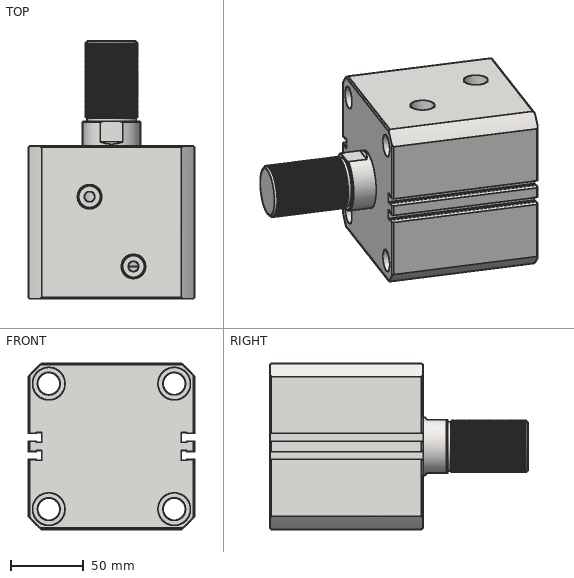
import cadquery as cq


WIDTH = 114.0
LENGTH = 105.0
FLAT_WIDTH = 95.5
END_CHAMFER = 1.0
HALF_WIDTH = WIDTH / 2
CORNER_RADIUS = (HALF_WIDTH**2 + (FLAT_WIDTH / 2) ** 2) ** 0.5

MOUNT_OFFSET = 43.0
MOUNT_RADIUS = 7.6
COUNTERBORE_RADIUS = 11.2
COUNTERBORE_DEPTH = 17.7

SLOT_OFFSET = 6.2
SLOT_DEPTH = 9.0
SLOT_NECK_DEPTH = 5.5
SLOT_NECK_HEIGHT = 5.3
SLOT_FOOT_HEIGHT = 6.5

PORT_OFFSET = 15.0
REAR_PORT_Y = 22.3
FRONT_PORT_Y = 70.1
PORT_MOUTH_RADIUS = 8.3
PORT_FLOOR_RADIUS = 7.5
PORT_DEPTH = 12.4
PORT_PASSAGE_RADIUS = 3.5

BORE_RADIUS = 40.0
BORE_START = 8.8
BORE_END = 87.6
PISTON_GAP = 0.5
DISC_FRONT = REAR_PORT_Y - PISTON_GAP / 2
PISTON_REAR = REAR_PORT_Y + PISTON_GAP / 2
PISTON_LENGTH = 17.7

ROD_RADIUS = 20.0
ROD_TIP = 177.0
SHOULDER_Y = LENGTH + 16.8
SHOULDER_CHAMFER = 0.7
FLAT_HEIGHT = 18.4
FLAT_START = LENGTH + 2.8

THREAD_START = SHOULDER_Y + 2.3
THREAD_RADIUS = 17.9
THREAD_ROOT_RADIUS = 17.0
THREAD_PITCH = 1.5
THREAD_CREST = 0.45
TIP_CHAMFER = 1.6


def cylinder_y(radius, start, end, x=0, z=0):
    """Cylinder along Y from start to end."""
    return cq.Workplane("XZ", origin=(x, start, z)).circle(radius).extrude(start - end)


def housing_block():
    block = cq.Workplane("XY").box(WIDTH, LENGTH, WIDTH).translate((0, LENGTH / 2, 0))
    block = block.faces("<Y or >Y").chamfer(END_CHAMFER)
    return block.intersect(cylinder_y(CORNER_RADIUS, 0, LENGTH))


def mounting_hole(x, z):
    hole = cylinder_y(MOUNT_RADIUS, 0, LENGTH, x, z)
    return hole.union(cylinder_y(COUNTERBORE_RADIUS, 0, COUNTERBORE_DEPTH, x, z))


def sensor_slot(side, z):
    """Undercut slot along the full length; side is -1 or 1 along X."""
    neck = cq.Workplane("XY").box(SLOT_DEPTH, LENGTH, SLOT_NECK_HEIGHT)
    foot_depth = SLOT_DEPTH - SLOT_NECK_DEPTH
    foot = cq.Workplane("XY").box(foot_depth, LENGTH, SLOT_FOOT_HEIGHT)
    neck = neck.translate((side * (HALF_WIDTH - SLOT_DEPTH / 2), LENGTH / 2, z))
    foot_x = HALF_WIDTH - SLOT_DEPTH + foot_depth / 2
    return neck.union(foot.translate((side * foot_x, LENGTH / 2, z)))


def air_port(x, y):
    """Tapered port with a flat floor and a narrow passage down into the bore."""
    mouth = cq.Solid.makeCone(
        PORT_MOUTH_RADIUS, PORT_FLOOR_RADIUS, PORT_DEPTH,
        pnt=cq.Vector(x, y, HALF_WIDTH), dir=cq.Vector(0, 0, -1),
    )
    passage = cq.Workplane("XY", origin=(x, y, 0)).circle(PORT_PASSAGE_RADIUS).extrude(HALF_WIDTH)
    outside_bore = passage.cut(cylinder_y(BORE_RADIUS, BORE_START, BORE_END))
    return outside_bore.union(cq.Workplane(mouth))


def make_housing():
    body = housing_block()
    for side in (-1, 1):
        for end in (-1, 1):
            body = body.cut(mounting_hole(side * MOUNT_OFFSET, end * MOUNT_OFFSET))
            body = body.cut(sensor_slot(side, end * SLOT_OFFSET))
    body = body.cut(cylinder_y(BORE_RADIUS, BORE_START, BORE_END))
    body = body.cut(cylinder_y(ROD_RADIUS, BORE_END, LENGTH))
    body = body.cut(air_port(PORT_OFFSET, REAR_PORT_Y))
    return body.cut(air_port(-PORT_OFFSET, FRONT_PORT_Y))


def make_rear_disc():
    """Disc that fills the rear end of the bore behind the piston."""
    return cylinder_y(BORE_RADIUS, BORE_START, DISC_FRONT)


def rod_profile():
    """Half section of piston, rod and thread as (radius, Y) points."""
    piston_front = PISTON_REAR + PISTON_LENGTH
    points = [
        (0, PISTON_REAR),
        (BORE_RADIUS, PISTON_REAR),
        (BORE_RADIUS, piston_front),
        (ROD_RADIUS, piston_front),
        (ROD_RADIUS, SHOULDER_Y - SHOULDER_CHAMFER),
        (ROD_RADIUS - SHOULDER_CHAMFER, SHOULDER_Y),
        (THREAD_ROOT_RADIUS, SHOULDER_Y),
        (THREAD_ROOT_RADIUS, THREAD_START),
    ]
    thread_end = ROD_TIP - TIP_CHAMFER
    ridges = round((thread_end - THREAD_START) / THREAD_PITCH)
    for i in range(ridges):
        ridge_y = THREAD_START + i * THREAD_PITCH
        crest_y = ridge_y + (THREAD_PITCH - THREAD_CREST) / 2
        points.append((THREAD_RADIUS, crest_y))
        points.append((THREAD_RADIUS, crest_y + THREAD_CREST))
        points.append((THREAD_ROOT_RADIUS, ridge_y + THREAD_PITCH))
    points.append((THREAD_RADIUS, thread_end))
    points.append((THREAD_RADIUS - TIP_CHAMFER, ROD_TIP))
    points.append((0, ROD_TIP))
    return points


def wrench_flat_cut():
    """Wedge above the upper wrench flat, with a 45 degree run-out towards the housing."""
    rise = ROD_RADIUS - FLAT_HEIGHT
    side_outline = [
        (FLAT_START, FLAT_HEIGHT),
        (SHOULDER_Y, FLAT_HEIGHT),
        (SHOULDER_Y, ROD_RADIUS),
        (FLAT_START - rise, ROD_RADIUS),
    ]
    return cq.Workplane("YZ").polyline(side_outline).close().extrude(ROD_RADIUS, both=True)


def make_piston_rod():
    rod = cq.Workplane("XY").polyline(rod_profile()).close().revolve(360, (0, 0, 0), (0, 1, 0))
    upper_cut = wrench_flat_cut()
    return rod.cut(upper_cut).cut(upper_cut.mirror("XY"))


housing = make_housing()
rear_disc = make_rear_disc()
piston_rod = make_piston_rod()

result = cq.Compound.makeCompound([housing.val(), rear_disc.val(), piston_rod.val()])